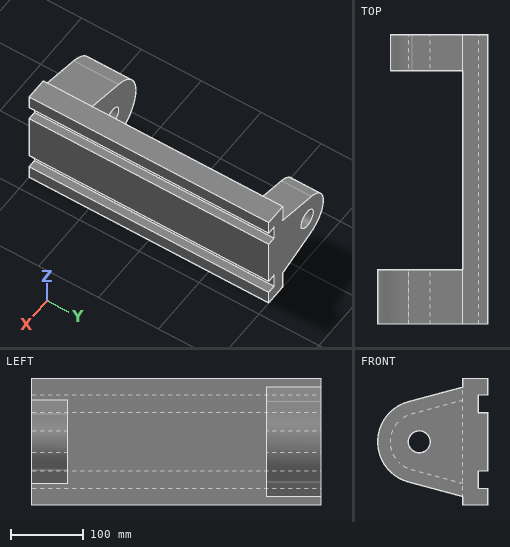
import cadquery as cq
import math

plate_length = 400.0
plate_thickness = 35.0
plate_height = 175.0

groove_depth = 13.0
groove_width = 24.0
groove_offset = 52.5

bore_distance = 95.0
bore_diameter = 30.0
flank_angle = math.radians(15)
front_nose_radius = 57.5
front_lug_width = 75.0
rear_nose_radius = 40.0
rear_lug_width = 50.0


def make_lug(nose_radius, width, front_y):
    """Tapered lug from the plate to its nose, starting at front_y."""
    tangent_x = -bore_distance - nose_radius * math.sin(flank_angle)
    tangent_z = nose_radius * math.cos(flank_angle)
    root_x = -plate_thickness
    root_z = tangent_z + (root_x - tangent_x) * math.tan(flank_angle)
    return (
        cq.Workplane("XZ", origin=(0, front_y, 0))
        .moveTo(root_x, -root_z)
        .lineTo(tangent_x, -tangent_z)
        .threePointArc((-bore_distance - nose_radius, 0), (tangent_x, tangent_z))
        .lineTo(root_x, root_z)
        .close()
        .extrude(-width)
    )


plate = cq.Workplane("XY").box(
    plate_thickness, plate_length, plate_height, centered=(False, False, True)
).translate((-plate_thickness, 0, 0))

for side in (-1, 1):
    groove = cq.Workplane("XY").box(
        groove_depth, plate_length, groove_width, centered=(False, False, True)
    ).translate((-groove_depth, 0, side * groove_offset))
    plate = plate.cut(groove)

front_lug = make_lug(front_nose_radius, front_lug_width, 0)
rear_lug = make_lug(rear_nose_radius, rear_lug_width, plate_length - rear_lug_width)

bore = (
    cq.Workplane("XZ")
    .center(-bore_distance, 0)
    .circle(bore_diameter / 2)
    .extrude(-plate_length)
)

result = plate.union(front_lug).union(rear_lug).cut(bore)